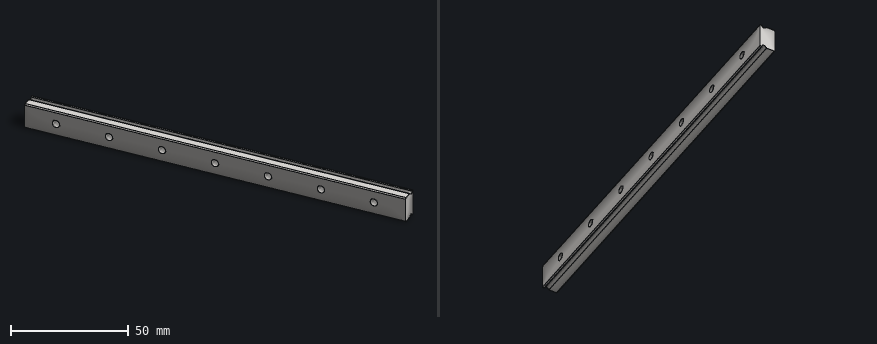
import cadquery as cq
import math

length = 180.0
thickness = 7.5
height = 12.0

groove_back_offset = 1.0
groove_width = 2.2
groove_radius = 0.81
ramp_angle = math.radians(45)

front_chamfer = 0.5

hole_diameter = 3.5
hole_count = 7
hole_pitch = 25.0

back_y = thickness / 2
front_y = -thickness / 2
top_z = height / 2


def rail_body():
    """Rectangular bar with its long front edges chamfered."""
    bar = cq.Workplane("XY").box(length, thickness, height)
    return bar.faces("<Y").edges("|X").chamfer(front_chamfer)


def groove(side):
    """Cutter for the top (side = 1) or bottom (side = -1) groove.

    A vertical back wall runs into a round floor, then a ramp rises to the front.
    """
    wall_y = back_y - groove_back_offset
    ramp_top_y = wall_y - groove_width
    arc_center_y = wall_y - groove_radius
    ramp_foot_y = arc_center_y - groove_radius * math.sin(ramp_angle)
    ramp_foot_z = top_z - (ramp_foot_y - ramp_top_y) * math.tan(ramp_angle)
    arc_center_z = ramp_foot_z + groove_radius * math.cos(ramp_angle)
    floor_z = arc_center_z - groove_radius
    return (
        cq.Workplane("YZ", origin=(-length / 2, 0, 0))
        .moveTo(wall_y, side * top_z)
        .lineTo(wall_y, side * arc_center_z)
        .threePointArc((arc_center_y, side * floor_z), (ramp_foot_y, side * ramp_foot_z))
        .lineTo(ramp_top_y, side * top_z)
        .close()
        .extrude(length)
    )


def mounting_holes():
    """Row of straight through-hole cutters centred on the rail."""
    return (
        cq.Workplane("XZ", origin=(0, front_y, 0))
        .rarray(hole_pitch, 1.8, hole_count, 1)
        .circle(hole_diameter / 2)
        .extrude(-thickness)
    )


result = rail_body()
for side in (1, -1):
    result = result.cut(groove(side))
result = result.cut(mounting_holes())